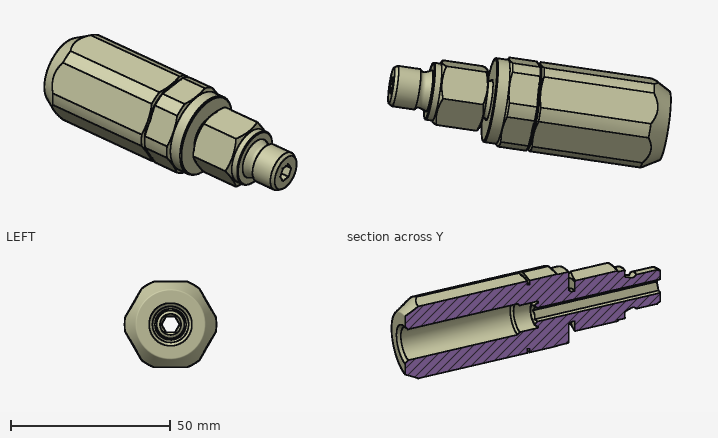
import cadquery as cq
import math

total_length = 87.5

chamfer_angle = 30.0

body_flats = 27.0
body_width = 29.0
corner_radius = body_width / 2
nose_radius = 10.9
nose_angle = 30.0
nose_fillet = 0.5
sleeve_end = 41.9
groove_radius = 12.1
nut_start = 42.6
nut_end = 52.1

collar_radius = 13.4
collar_end = 56.2
collar_chamfer = 0.35

thread_radius = 6.5
undercut_radius = 5.7
runout_arc = 1.3
runout_angle = 45.0

rear_start = 58.1
rear_end = 73.1
rear_flats = 19.0
flange_radius = 9.1
flange_end = 75.4
flange_chamfer = 0.3

neck_angle = 22.0
neck_end = 77.6
spigot_start = 79.3
spigot_chamfer = 1.1
spigot_tip_radius = 5.7

mouth_radius = 6.7
mouth_depth = 1.05
bore_radius = 5.7
bore_depth = 38.5
taper_depth = 0.8
inner_radius = 4.9
inner_depth = 45.5

dome_radius = 4.4
dome_tip_radius = 3.3
dome_rounding = dome_radius - dome_tip_radius
dome_tip = inner_depth - dome_rounding
socket_flats = 4.9


def sine(angle):
    return math.sin(math.radians(angle))


def cosine(angle):
    return math.cos(math.radians(angle))


def tangent(angle):
    return math.tan(math.radians(angle))


def revolve_outline(outline):
    """Spin a closed (x, radius) outline about the X axis."""
    return outline.close().revolve(360, (0, 0, 0), (1, 0, 0))


def turned(points):
    """Turned solid from (x, radius) points, closed along the axis."""
    start_x = points[0][0]
    end_x = points[-1][0]
    return revolve_outline(cq.Workplane("XY").polyline([(start_x, 0)] + points + [(end_x, 0)]))


def cylinder(start, end, radius):
    return turned([(start, radius), (end, radius)])


def hexagon(start, end, flats):
    """Hexagonal bar along X with flats facing up and down and corners on the Y sides."""
    return cq.Workplane("YZ", origin=(start, 0, 0)).polygon(6, flats / cosine(30)).extrude(end - start)


def chamfer_length(outer_radius, end_radius):
    """Axial length of a hexagon's end chamfer between two radii."""
    return (outer_radius - end_radius) * tangent(chamfer_angle)


def make_sleeve():
    end_radius = body_flats / 2
    envelope = turned([
        (0, nose_radius),
        ((corner_radius - nose_radius) / tangent(nose_angle), corner_radius),
        (sleeve_end - chamfer_length(corner_radius, end_radius), corner_radius),
        (sleeve_end, end_radius),
    ])
    envelope = envelope.faces("<X").edges().fillet(nose_fillet)
    return hexagon(0, sleeve_end, body_flats).intersect(envelope)


def make_lock_nut():
    envelope = turned([
        (nut_start, corner_radius),
        (nut_end - chamfer_length(corner_radius, collar_radius), corner_radius),
        (nut_end, collar_radius),
    ])
    return hexagon(nut_start, nut_end, body_flats).intersect(envelope)


def make_collar():
    return turned([
        (nut_end, collar_radius),
        (collar_end - collar_chamfer, collar_radius),
        (collar_end, collar_radius - collar_chamfer),
    ])


def make_rear_hexagon():
    tip_radius = rear_flats / cosine(30) / 2
    chamfer = chamfer_length(tip_radius, flange_radius)
    envelope = turned([
        (rear_start, flange_radius),
        (rear_start + chamfer, tip_radius),
        (rear_end - chamfer, tip_radius),
        (rear_end, flange_radius),
    ])
    return hexagon(rear_start, rear_end, rear_flats).intersect(envelope)


def make_flange():
    return turned([
        (rear_end, flange_radius),
        (flange_end - flange_chamfer, flange_radius),
        (flange_end, flange_radius - flange_chamfer),
    ])


def undercut_blend(start_x, start_radius, arc_end, angle):
    """Cone that meets the undercut at arc_end through a concave arc sweeping the given angle."""
    direction = math.copysign(1, arc_end - start_x)

    def arc_point(sweep):
        x = arc_end - direction * runout_arc * sine(sweep)
        return x, undercut_radius + runout_arc * (1 - cosine(sweep))

    return revolve_outline(
        cq.Workplane("XY")
        .moveTo(start_x, 0)
        .lineTo(start_x, start_radius)
        .lineTo(*arc_point(angle))
        .threePointArc(arc_point(angle / 2), arc_point(0))
        .lineTo(arc_end, 0)
    )


def make_runout(thread_edge, direction):
    """Run-out from the thread down to the undercut, going along +X (1) or -X (-1)."""
    cone_length = (thread_radius - undercut_radius) / tangent(runout_angle)
    length = cone_length + runout_arc * tangent(runout_angle / 2)
    return undercut_blend(thread_edge, thread_radius, thread_edge + direction * length, runout_angle)


def make_neck():
    """Cone behind the flange, blended into the undercut."""
    root_radius = undercut_radius + (neck_end - flange_end) * tangent(neck_angle)
    arc_end = neck_end + runout_arc * tangent(neck_angle / 2)
    return undercut_blend(flange_end, root_radius, arc_end, neck_angle)


def make_spigot_thread():
    return turned([
        (spigot_start, thread_radius),
        (total_length - spigot_chamfer, thread_radius),
        (total_length, spigot_tip_radius),
    ])


def make_bore():
    return turned([
        (0, mouth_radius),
        (mouth_depth, bore_radius),
        (bore_depth, bore_radius),
        (bore_depth + taper_depth, inner_radius),
        (inner_depth, inner_radius),
    ])


def make_stem_dome():
    """Stem end with a quarter-round rim, facing the nose."""
    mid_offset = dome_rounding * (1 - cosine(45))
    arc_middle = (dome_tip + mid_offset, dome_radius - mid_offset)
    return revolve_outline(
        cq.Workplane("XY")
        .moveTo(dome_tip, 0)
        .lineTo(dome_tip, dome_tip_radius)
        .threePointArc(arc_middle, (inner_depth, dome_radius))
        .lineTo(inner_depth, 0)
    )


def make_socket():
    """Through hex socket with a 45 degree countersink at the dome tip."""
    inscribed_radius = socket_flats / 2
    countersink_depth = dome_tip_radius - inscribed_radius
    countersink = turned([
        (dome_tip, dome_tip_radius),
        (dome_tip + countersink_depth, inscribed_radius),
    ])
    return hexagon(dome_tip, total_length, socket_flats).union(countersink)


result = (
    make_sleeve()
    .union(cylinder(sleeve_end, nut_start, groove_radius))
    .union(make_lock_nut())
    .union(make_collar())
    .union(make_runout(collar_end, 1))
    .union(cylinder(collar_end, rear_start, undercut_radius))
    .union(make_rear_hexagon())
    .union(make_flange())
    .union(make_neck())
    .union(cylinder(flange_end, spigot_start, undercut_radius))
    .union(make_runout(spigot_start, -1))
    .union(make_spigot_thread())
    .cut(make_bore())
    .union(make_stem_dome())
    .cut(make_socket())
)